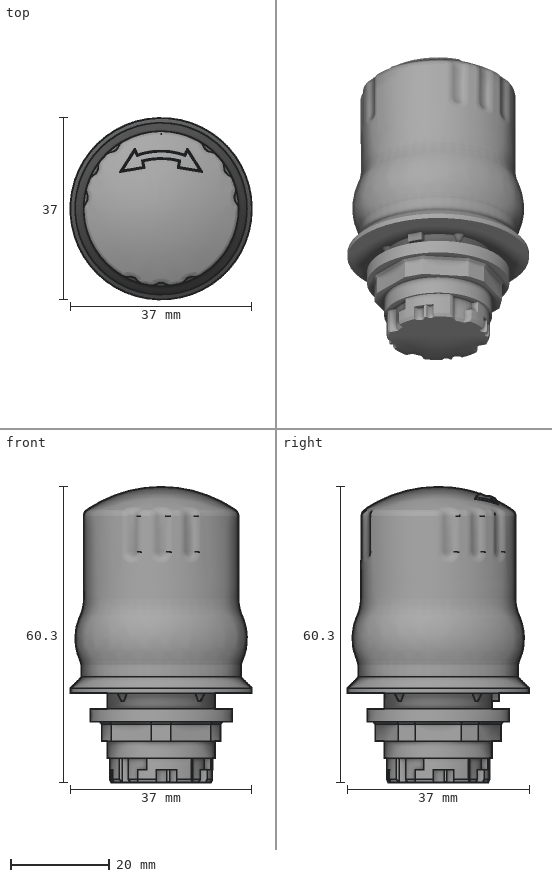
import cadquery as cq
import math

overall_height = 60.26
top_z = 42.0
bottom_z = top_z - overall_height

cap_radius = 31.55 / 2
cap_joint_z = 22.7
dome_radius = 26.5
dome_centre_z = top_z - dome_radius
rim_round = 1.5
cap_seam_angle = 90

skirt_top_z = 19.24
bulge_top_z = 15.25
bulge_top_radius = 16.7
bulge_mid_z = 10.9
bulge_mid_radius = 17.5
bulge_bottom_z = 6.53
bulge_bottom_radius = 16.5
collar_radius = 32.6 / 2
collar_top_z = 5.8
collar_foot_z = 3.3

flange_radius = 37 / 2
flange_rim = 1.0
flange_cone_top_radius = 16.5
flange_cone_top_z = 2.95

neck_radius = 22 / 2
neck_bottom_z = -13.26
washer_radius = 29 / 2
washer_top_z = -3.24
washer_bottom_z = -5.85
nut_bottom_z = -9.77
nut_across_flats = 24.2
nut_across_corners = 25.65
nut_lip_height = 0.5
nut_lip_flare = 0.4

groove_groups = 3
grooves_per_group = 3
groove_pitch_angle = 22.2
first_group_angle = -90
groove_radius = 1.9
groove_depth = 0.7
groove_foot_z = 28.75
groove_edge_round = 1.9

arrow_height = 0.3
arrow_bevel = 0.28
arrow_tip = (8.4, 7.45)
arrow_barb_outer = (5.35, 12.25)
arrow_foot_outer = (4.75, 11.05)
arrow_mid_outer = (0, 11.85)
arrow_barb_inner = (3.35, 8.3)
arrow_foot_inner = (3.6, 9.65)
arrow_mid_inner = (0, 10.1)

key_reach = 12.4
key_width = 3.0
locator_height = 1.65
nib_count = 4
nib_first_angle = 45
nib_radius = 1.15
nib_tip_radius = 0.3

socket_radius = 21 / 2
socket_chamfer_height = 0.7
socket_chamfer_width = 0.3
socket_floor_radius = 18.5 / 2
bayonet_count = 4
lug_top_z = -15.6
channel_side_y = -6.43
channel_upper_x = -2.96
channel_lower_x = -4.72
channel_bevel_x = -7.9
channel_bevel_slope = 0.45
tooth_radius = 10.3
notch_left_x = -1.0
tooth_left_x = 1.19
tooth_right_x = 1.72
notch_right_x = 3.2


def revolve_about_z(profile):
    return profile.close().revolve(360, (0, 0, 0), (0, 1, 0))


def cylinder(radius, low_z, high_z):
    return cq.Workplane("XY").workplane(offset=low_z).circle(radius).extrude(high_z - low_z)


def block(low_x, high_x, low_y, high_y, low_z, high_z):
    box = cq.Workplane("XY").box(high_x - low_x, high_y - low_y, high_z - low_z, centered=False)
    return box.translate((low_x, low_y, low_z))


def turned(shape, angle):
    return shape.rotate((0, 0, 0), (0, 0, 1), angle)


def dome_ball(radius):
    return cq.Workplane("XY").sphere(radius).translate((0, 0, dome_centre_z))


def plain_cap():
    cap = cylinder(cap_radius, cap_joint_z, top_z).intersect(dome_ball(dome_radius))
    cap = cap.faces(">Z").edges().fillet(rim_round)
    return turned(cap, cap_seam_angle)


def groove_angles():
    middle = (grooves_per_group - 1) / 2
    angles = []
    for group in range(groove_groups):
        group_angle = first_group_angle + group * 360 / groove_groups
        for place in range(grooves_per_group):
            angles.append(group_angle + (place - middle) * groove_pitch_angle)
    return angles


def groove_cutter():
    """Upright trough with a ball-shaped foot, biting into the +X side of the cap."""
    axis_x = cap_radius - groove_depth + groove_radius
    trough = cylinder(groove_radius, groove_foot_z, top_z)
    foot = cq.Workplane("XY").sphere(groove_radius).translate((0, 0, groove_foot_z))
    return trough.union(foot).translate((axis_x, 0, 0))


def is_mouth_edge(edge, angle):
    """True for the edges where the groove at this angle meets the outside of the cap."""
    centre = edge.Center()
    direction = math.radians(angle)
    outward = centre.x * math.cos(direction) + centre.y * math.sin(direction)
    sideways = centre.y * math.cos(direction) - centre.x * math.sin(direction)
    on_wall = outward > cap_radius - 2 * groove_depth
    in_groove = abs(sideways) < groove_radius and centre.z > groove_foot_z - groove_radius
    on_foot_joint = abs(centre.z - groove_foot_z) < groove_depth
    return on_wall and in_groove and not on_foot_joint


def make_cap():
    cap = plain_cap()
    for angle in groove_angles():
        cap = cap.cut(turned(groove_cutter(), angle))
    mouth = []
    for edge in cap.edges().vals():
        if any(is_mouth_edge(edge, angle) for angle in groove_angles()):
            mouth.append(edge)
    return cap.newObject(mouth).fillet(groove_edge_round)


def make_arrow():
    def mirrored(point):
        return (-point[0], point[1])

    outline = (
        cq.Workplane("XY")
        .moveTo(*arrow_tip)
        .lineTo(*arrow_barb_outer)
        .lineTo(*arrow_foot_outer)
        .threePointArc(arrow_mid_outer, mirrored(arrow_foot_outer))
        .lineTo(*mirrored(arrow_barb_outer))
        .lineTo(*mirrored(arrow_tip))
        .lineTo(*mirrored(arrow_barb_inner))
        .lineTo(*mirrored(arrow_foot_inner))
        .threePointArc(arrow_mid_inner, arrow_foot_inner)
        .lineTo(*arrow_barb_inner)
        .close()
    )
    prism = outline.extrude(top_z).cut(cylinder(cap_radius, 0, groove_foot_z))
    arrow = prism.intersect(dome_ball(dome_radius + arrow_height))
    return arrow.faces(">Z").edges().chamfer(arrow_bevel)


def waist_point():
    """Middle of the hollow arc that leaves the cap wall vertically and meets the bulge."""
    rise = skirt_top_z - bulge_top_z
    spread = bulge_top_radius - cap_radius
    radius = (rise**2 + spread**2) / (2 * spread)
    half_angle = math.asin(rise / radius) / 2
    x = cap_radius + radius * (1 - math.cos(half_angle))
    return (x, skirt_top_z - radius * math.sin(half_angle))


def make_skirt_and_flange():
    profile = (
        cq.Workplane("XZ")
        .moveTo(0, 0)
        .lineTo(flange_radius, 0)
        .lineTo(flange_radius, flange_rim)
        .lineTo(flange_cone_top_radius, flange_cone_top_z)
        .lineTo(collar_radius, collar_foot_z)
        .lineTo(collar_radius, collar_top_z)
        .lineTo(bulge_bottom_radius, bulge_bottom_z)
        .threePointArc((bulge_mid_radius, bulge_mid_z), (bulge_top_radius, bulge_top_z))
        .threePointArc(waist_point(), (cap_radius, skirt_top_z))
        .lineTo(cap_radius, cap_joint_z)
        .lineTo(0, cap_joint_z)
    )
    return revolve_about_z(profile)


def nut_outline(growth, z):
    """Hexagon with flats facing +X and -X and its corners cut flat, grown outward by growth."""
    flat = nut_across_flats / 2 + growth
    corner = nut_across_corners / 2 + growth
    reach = math.hypot(flat, (corner - flat * math.cos(math.pi / 6)) / math.sin(math.pi / 6))
    half_facet = math.acos(flat / reach)
    points = []
    for side in range(6):
        for turn in (-half_facet, half_facet):
            angle = side * math.pi / 3 + turn
            points.append((reach * math.cos(angle), reach * math.sin(angle)))
    return cq.Workplane("XY").workplane(offset=z).polyline(points).close()


def make_nut():
    lip_z = washer_bottom_z - nut_lip_height
    nut = nut_outline(0, nut_bottom_z).extrude(lip_z - nut_bottom_z)
    lip_top = nut_outline(nut_lip_flare, washer_bottom_z).wires().val()
    lip_foot = nut_outline(0, lip_z).wires().val()
    lip = cq.Solid.makeLoft([lip_foot, lip_top], True)
    return nut.union(cq.Workplane(lip))


def make_locators():
    """Key on the +Y side and tapered nibs around the neck."""
    locators = block(-key_width / 2, key_width / 2, 0, key_reach, -locator_height, 0)
    nib = cq.Workplane(cq.Solid.makeCone(nib_tip_radius, nib_radius, locator_height))
    nib = nib.translate((neck_radius, 0, -locator_height))
    for index in range(nib_count):
        locators = locators.union(turned(nib, nib_first_angle + index * 360 / nib_count))
    return locators


def bevelled_cylinder(radius):
    """Full-height socket cylinder with its bottom edge bevelled."""
    profile = (
        cq.Workplane("XZ")
        .moveTo(0, bottom_z)
        .lineTo(radius - socket_chamfer_width, bottom_z)
        .lineTo(radius, bottom_z + socket_chamfer_height)
        .lineTo(radius, neck_bottom_z)
        .lineTo(0, neck_bottom_z)
    )
    return revolve_about_z(profile)


def channel_leg(inner_x, low_z):
    """Space on the -Y side, open outward, between inner_x and the bevelled end of the channel."""
    outside = -2 * socket_radius
    bevel_end_y = channel_side_y + channel_bevel_slope * (channel_bevel_x - outside)
    outline = [
        (inner_x, outside),
        (inner_x, channel_side_y),
        (channel_bevel_x, channel_side_y),
        (outside, bevel_end_y),
        (outside, outside),
    ]
    plane = cq.Workplane("XY").workplane(offset=low_z)
    return plane.polyline(outline).close().extrude(neck_bottom_z - low_z)


def channel_cutter():
    """L-shaped bayonet channel: entry beside the lug, then the run above it."""
    entry = channel_leg(channel_lower_x, bottom_z)
    run = channel_leg(channel_upper_x, lug_top_z)
    return entry.union(run).cut(bevelled_cylinder(socket_floor_radius))


def scoop(left_x, right_x):
    """Upright half-round cut in the -Y wall that spans left_x to right_x at the tooth tip."""
    middle_x = (left_x + right_x) / 2
    wall_y = -math.sqrt(tooth_radius**2 - middle_x**2)
    return cylinder((right_x - left_x) / 2, bottom_z, lug_top_z).translate((middle_x, wall_y, 0))


def notch_cutter():
    """Pair of scoops on the -Y side of the lower edge, with a thin, slightly sunk tooth between."""
    window = block(notch_left_x, notch_right_x, -2 * socket_radius, 0, bottom_z, lug_top_z)
    sunk = window.cut(cylinder(tooth_radius, bottom_z, lug_top_z))
    left = scoop(notch_left_x, tooth_left_x)
    right = scoop(tooth_right_x, notch_right_x)
    return sunk.union(left).union(right)


def make_socket():
    socket = bevelled_cylinder(socket_radius)
    for index in range(bayonet_count):
        angle = index * 360 / bayonet_count
        socket = socket.cut(turned(channel_cutter(), angle))
        socket = socket.cut(turned(notch_cutter(), angle))
    return socket


result = (
    make_skirt_and_flange()
    .union(cylinder(neck_radius, neck_bottom_z, 0))
    .union(cylinder(washer_radius, washer_bottom_z, washer_top_z))
    .union(make_nut())
    .union(make_locators())
    .union(make_socket())
    .union(make_cap(), clean=False)
    .union(make_arrow(), clean=False)
)